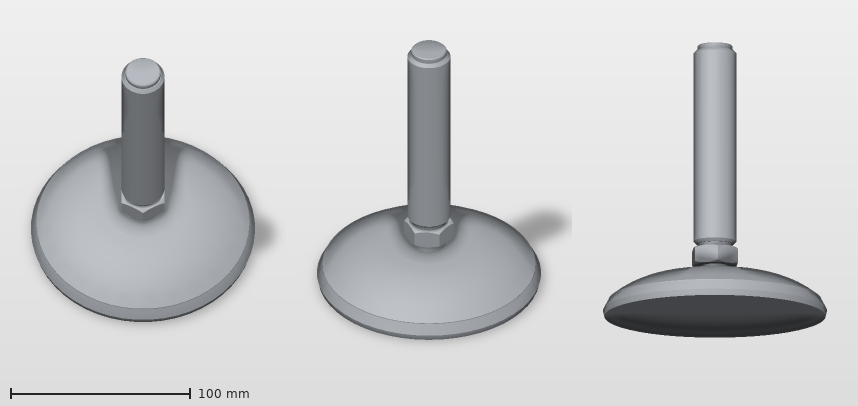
import cadquery as cq
import math

TOTAL_HEIGHT = 153.7

PAD_HEIGHT = 9.0
PAD_TOP_RADIUS = 59.3
PAD_WIDEST_RADIUS = 125.0 / 2
PAD_WIDEST_Z = 3.4
PAD_EDGE_RADIUS = 62.0
PAD_EDGE_Z = 1.0
PAD_EDGE_CHAMFER = 0.3

PLATE_RADIUS = PAD_TOP_RADIUS
PLATE_RIM_HEIGHT = 0.5
PLATE_FLAT_RADIUS = 20.0
PLATE_TOP_Z = 23.5

FLARE_RADIUS = 18.3 / 2
FLARE_HEIGHT = 3.0
FOOT_NECK_RADIUS = 14.3 / 2

HEX_SIDES = 6
HEX_BOTTOM_Z = 28.6
HEX_TOP_Z = 38.5
HEX_ACROSS_FLATS = 24.0
HEX_CHAMFER_ANGLE = 30.0

STUD_RADIUS = 24.0 / 2
STUD_STEP_RADIUS = 10.3
STUD_END_RADIUS = 19.5 / 2
STUD_BOTTOM_Z = 42.4
STUD_TOP_Z = 149.1
STUD_TAPER_HEIGHT = STUD_RADIUS - STUD_STEP_RADIUS
STUD_TIP_CHAMFER = 0.6


def revolve_profile(profile):
    """Close a (radius, height) profile and revolve it about the Z axis."""
    return profile.close().revolve(axisStart=(0, 0, 0), axisEnd=(0, 1, 0))


def make_pad():
    """Flat-topped disc whose rim leans out to its widest circle, then tucks in to the base."""
    return revolve_profile(
        cq.Workplane("XZ")
        .lineTo(PAD_EDGE_RADIUS - PAD_EDGE_CHAMFER, 0)
        .lineTo(PAD_EDGE_RADIUS, PAD_EDGE_Z)
        .lineTo(PAD_WIDEST_RADIUS, PAD_WIDEST_Z)
        .lineTo(PAD_TOP_RADIUS, PAD_HEIGHT)
        .lineTo(0, PAD_HEIGHT)
    )


def make_plate():
    """Dome with a thin upright rim; its curved flank leaves the central flat tangentially."""
    flank_width = PLATE_RADIUS - PLATE_FLAT_RADIUS
    rim_top_z = PAD_HEIGHT + PLATE_RIM_HEIGHT
    flank_drop = PLATE_TOP_Z - rim_top_z
    dome_radius = (flank_width**2 + flank_drop**2) / (2 * flank_drop)
    half_sweep = math.asin(flank_width / dome_radius) / 2
    flank_middle = (
        PLATE_FLAT_RADIUS + dome_radius * math.sin(half_sweep),
        PLATE_TOP_Z - dome_radius * (1 - math.cos(half_sweep)),
    )
    return revolve_profile(
        cq.Workplane("XZ")
        .moveTo(0, PAD_HEIGHT)
        .lineTo(PLATE_RADIUS, PAD_HEIGHT)
        .lineTo(PLATE_RADIUS, rim_top_z)
        .threePointArc(flank_middle, (PLATE_FLAT_RADIUS, PLATE_TOP_Z))
        .lineTo(0, PLATE_TOP_Z)
    )


def make_hexagon():
    """Hexagon with corners along X, its corners turned off conically at both ends."""
    flat_radius = HEX_ACROSS_FLATS / 2
    corner_radius = flat_radius / math.cos(math.pi / HEX_SIDES)
    chamfer_height = (corner_radius - flat_radius) * math.tan(math.radians(HEX_CHAMFER_ANGLE))
    prism = (
        cq.Workplane("XY", origin=(0, 0, HEX_BOTTOM_Z))
        .polygon(HEX_SIDES, 2 * corner_radius)
        .extrude(HEX_TOP_Z - HEX_BOTTOM_Z)
    )
    turned_envelope = revolve_profile(
        cq.Workplane("XZ")
        .moveTo(0, HEX_BOTTOM_Z)
        .lineTo(flat_radius, HEX_BOTTOM_Z)
        .lineTo(corner_radius, HEX_BOTTOM_Z + chamfer_height)
        .lineTo(corner_radius, HEX_TOP_Z - chamfer_height)
        .lineTo(flat_radius, HEX_TOP_Z)
        .lineTo(0, HEX_TOP_Z)
    )
    return prism.intersect(turned_envelope)


def make_foot():
    """Flare and neck between the plate and the hexagon."""
    return revolve_profile(
        cq.Workplane("XZ")
        .moveTo(0, PLATE_TOP_Z)
        .lineTo(FLARE_RADIUS, PLATE_TOP_Z)
        .lineTo(FOOT_NECK_RADIUS, PLATE_TOP_Z + FLARE_HEIGHT)
        .lineTo(FOOT_NECK_RADIUS, HEX_BOTTOM_Z)
        .lineTo(0, HEX_BOTTOM_Z)
    )


def make_stud():
    """Plain stud with tapered, stepped ends and a chamfered tip, standing on the hexagon."""
    return revolve_profile(
        cq.Workplane("XZ")
        .moveTo(0, HEX_TOP_Z)
        .lineTo(STUD_END_RADIUS, HEX_TOP_Z)
        .lineTo(STUD_END_RADIUS, STUD_BOTTOM_Z - STUD_TAPER_HEIGHT)
        .lineTo(STUD_STEP_RADIUS, STUD_BOTTOM_Z - STUD_TAPER_HEIGHT)
        .lineTo(STUD_RADIUS, STUD_BOTTOM_Z)
        .lineTo(STUD_RADIUS, STUD_TOP_Z)
        .lineTo(STUD_STEP_RADIUS, STUD_TOP_Z + STUD_TAPER_HEIGHT)
        .lineTo(STUD_END_RADIUS, STUD_TOP_Z + STUD_TAPER_HEIGHT)
        .lineTo(STUD_END_RADIUS, TOTAL_HEIGHT - STUD_TIP_CHAMFER)
        .lineTo(STUD_END_RADIUS - STUD_TIP_CHAMFER, TOTAL_HEIGHT)
        .lineTo(0, TOTAL_HEIGHT)
    )


def make_spindle():
    """Foot, hexagon and stud as one solid."""
    return make_foot().union(make_hexagon()).union(make_stud())


pad = make_pad()
plate = make_plate()
spindle = make_spindle()

result = cq.Compound.makeCompound([pad.val(), plate.val(), spindle.val()])